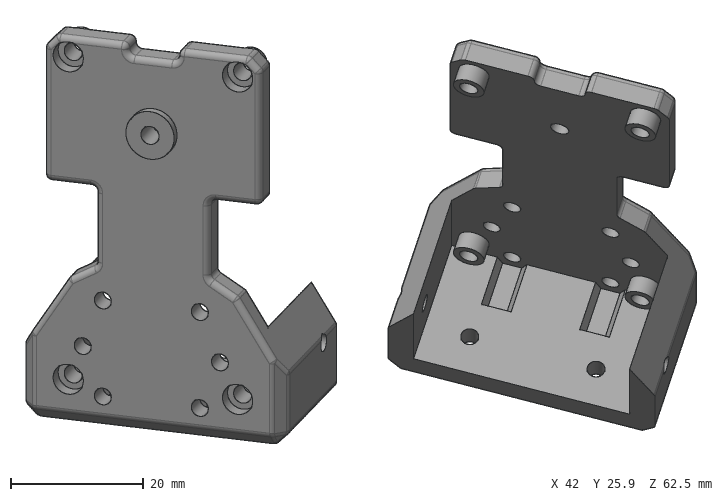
import cadquery as cq
import math

base_width = 42.0
height = 62.5
depth = 24.45
wall = 4.0
bevel = 2.0
edge_radius = 1.0

shoulder_z = 11.7
hip_half_width = 13.45
hip_z = 23.5
hip_angle = 30.0
neck_half_width = 9.0
head_half_width = 17.25
head_bottom_z = 38.8
notch_half_width = 4.0
notch_depth = 2.05

standoff_diameter = 4.8
standoff_length = 2.8
standoff_half_spacing = 13.5
standoff_heights = (7.25, 59.25)
clearance_diameter = 2.9
counterbore_depth = 2.4

boss_diameter = 7.7
boss_height = 1.4
boss_z = 48.7

screw_diameter = 2.7
ring_center_x = -0.25
ring_center_z = 12.9
ring_radius = 10.95
ring_angles = (0, 45, 135, 180, 225, 315)
nut_channel_angles = (225, 315)

nut_width = 5.2
nut_channel_length = 8.5

mount_y = 18.4
floor_hole_half_spacing = 9.95
side_hole_z = 10.75

base_half_width = base_width / 2


def cylinder_y(diameter, x, z, y_start, length):
    """Cylinder along +Y, starting at y_start."""
    start = cq.Vector(x, y_start, z)
    return cq.Workplane(cq.Solid.makeCylinder(diameter / 2, length, start, cq.Vector(0, 1, 0)))


def box(x_min, x_max, y_min, y_max, z_min, z_max):
    """Axis-aligned block between two corners."""
    size = (x_max - x_min, y_max - y_min, z_max - z_min)
    return cq.Workplane().box(*size, centered=False).translate((x_min, y_min, z_min))


def outline_prism():
    """Bracket silhouette carried through the full depth."""
    neck_bottom_z = hip_z + (hip_half_width - neck_half_width) * math.tan(math.radians(hip_angle))
    right_side = [
        (base_half_width, 0),
        (base_half_width, shoulder_z),
        (hip_half_width, hip_z),
        (neck_half_width, neck_bottom_z),
        (neck_half_width, head_bottom_z),
        (head_half_width, head_bottom_z),
        (head_half_width, height - bevel),
        (head_half_width - bevel, height),
        (notch_half_width, height),
        (notch_half_width, height - notch_depth),
    ]
    left_side = [(-x, z) for x, z in reversed(right_side)]
    return cq.Workplane("XZ").polyline(right_side + left_side).close().extrude(-depth)


def bevel_base(body):
    """Bevel the front and side edges that meet at the two bottom front corners."""
    bottom_sides = body.edges("|Y and <Z")
    front_bottom = body.faces("<Y").edges("<Z")
    front_sides = body.faces("<Y").edges("|Z").edges("<X or >X")
    return bottom_sides.add(front_bottom).add(front_sides).chamfer(bevel)


def round_edges(body):
    """Round every edge except those of the bottom and back faces."""
    return body.edges("not(<Z or >Y)").fillet(edge_radius)


def hollow_behind_plate(body):
    """Leave only the plate, the floor and the two side walls."""
    inner_half_width = base_half_width - wall
    body = body.cut(box(-inner_half_width, inner_half_width, wall, depth, wall, height))
    return body.cut(box(-base_half_width, base_half_width, wall, depth, hip_z, height))


def add_boss(body):
    """Round pad on the front of the head with a hole through it."""
    body = body.union(cylinder_y(boss_diameter, 0, boss_z, -boss_height, boss_height + wall))
    return body.cut(cylinder_y(clearance_diameter, 0, boss_z, -boss_height, boss_height + wall))


def add_standoff(body, x, z):
    """Standoff behind the plate with a counterbored hole through both."""
    body = body.union(cylinder_y(standoff_diameter, x, z, wall, standoff_length))
    body = body.cut(cylinder_y(standoff_diameter, x, z, 0, counterbore_depth))
    return body.cut(cylinder_y(clearance_diameter, x, z, 0, wall + standoff_length))


def cut_screw_ring(body):
    """Ring of screw holes; the lowest two have hexagonal nut channels let into the floor."""
    nut_corner_diameter = nut_width / math.cos(math.radians(30))
    for angle in ring_angles:
        x = ring_center_x + ring_radius * math.cos(math.radians(angle))
        z = ring_center_z + ring_radius * math.sin(math.radians(angle))
        body = body.cut(cylinder_y(screw_diameter, x, z, 0, wall))
        if angle in nut_channel_angles:
            channel = (
                cq.Workplane("XZ", origin=(x, wall, z))
                .polygon(6, nut_corner_diameter)
                .extrude(-nut_channel_length)
            )
            body = body.cut(channel)
    return body


def cut_mounting_holes(body):
    """Two holes through the floor and one through each side wall."""
    floor_holes = (
        cq.Workplane("XY")
        .pushPoints([(-floor_hole_half_spacing, mount_y), (floor_hole_half_spacing, mount_y)])
        .circle(screw_diameter / 2)
        .extrude(wall)
    )
    side_holes = (
        cq.Workplane("YZ")
        .center(mount_y, side_hole_z)
        .circle(screw_diameter / 2)
        .extrude(base_half_width, both=True)
    )
    return body.cut(floor_holes).cut(side_holes)


body = round_edges(bevel_base(outline_prism()))
body = hollow_behind_plate(body)
body = add_boss(body)
for standoff_z in standoff_heights:
    for standoff_x in (-standoff_half_spacing, standoff_half_spacing):
        body = add_standoff(body, standoff_x, standoff_z)
body = cut_screw_ring(body)
result = cut_mounting_holes(body)